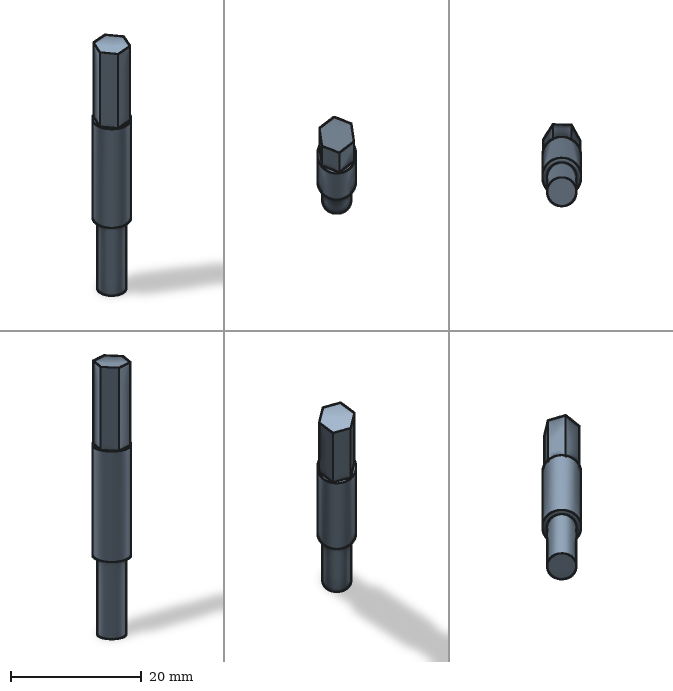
import cadquery as cq
import math

total_length = 44.8
pin_diameter = 4.5
pin_length = 13.0
barrel_diameter = 5.96
hex_length = 13.65
hex_across_flats = 4.94
hex_sides = 6
hex_angle = 41.2

barrel_length = total_length - pin_length - hex_length
hex_base_z = pin_length + barrel_length
hex_across_corners = hex_across_flats / math.cos(math.pi / hex_sides)


def make_spindle():
    """Stepped round body: a thin pin at the bottom and a wider barrel above it."""
    pin = cq.Workplane("XY").circle(pin_diameter / 2).extrude(pin_length)
    return pin.faces(">Z").workplane().circle(barrel_diameter / 2).extrude(barrel_length)


def make_hex_shank():
    """Hexagonal bar standing on the flat top of the barrel."""
    return (
        cq.Workplane("XY")
        .polygon(hex_sides, hex_across_corners)
        .extrude(hex_length)
        .rotate((0, 0, 0), (0, 0, 1), hex_angle)
        .translate((0, 0, hex_base_z))
    )


spindle = make_spindle()
hex_shank = make_hex_shank()

result = cq.Compound.makeCompound([spindle.val(), hex_shank.val()])